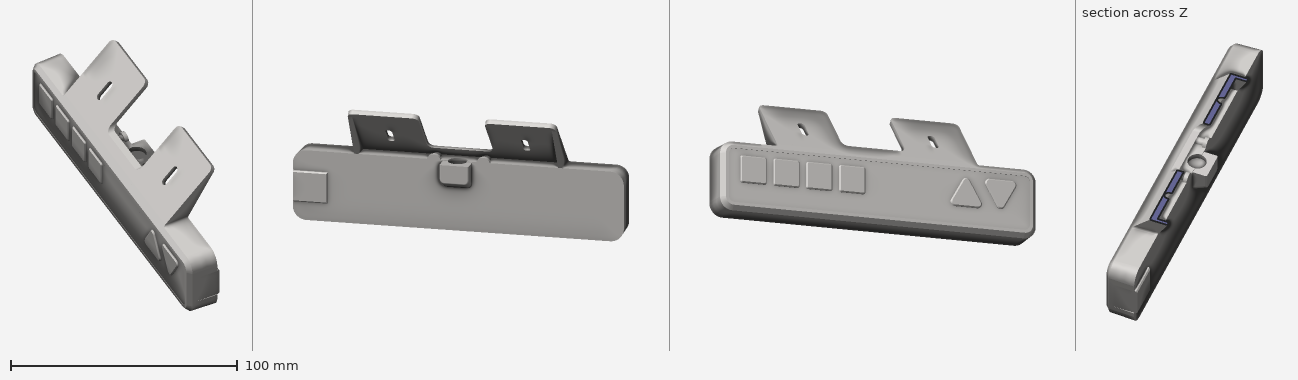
import cadquery as cq
import math


BODY_LENGTH = 150.0
BODY_HEIGHT = 32.2
BODY_DEPTH = 14.15
BODY_CORNER_RADIUS = 6.2
BODY_DRAFT = 2.0
FRONT_CHAMFER = 2.0

PANEL_INSET = 1.35
PANEL_DEPTH = 0.3
PANEL_CORNER_RADIUS = 2.6

BUTTON_PROUD = 0.5
BUTTON_CHAMFER = 0.6
KEY_SIZE = 12.4
KEY_CORNER_RADIUS = 1.0
KEY_COUNT = 4
KEY_PITCH = 15.55
FIRST_KEY_X = -59.5
KEY_Z = 19.15
ARROW_SIDE = 10.8
ARROW_CORNER_RADIUS = 2.0
UP_ARROW_X = 41.0
UP_ARROW_Z = 18.3
DOWN_ARROW_X = 57.3
DOWN_ARROW_Z = 18.9

BRACKET_TOP_Z = 56.54
BRACKET_REAR_Y = 14.22
BRACKET_CREASE_Y = -11.3
TAB_OUTER_X = 47.2
TAB_INNER_X = 15.0
TAB_CORNER_RADIUS = 2.8
NOTCH_FLOOR_Z = 36.0
SLOT_X = 30.7
SLOT_Z = 43.7
SLOT_WIDTH = 3.3
SLOT_LENGTH = 10.1
GUSSET_THICKNESS = 2.0
GUSSET_BASE_RADIUS = 0.9

BOSS_X = 11.2
BOSS_Z = 31.2
BOSS_FLANGE_DIAMETER = 6.5
BOSS_FLANGE_LENGTH = 1.85
BOSS_NECK_DIAMETER = 4.5
BOSS_LENGTH = 7.0
OUTLET_LEFT_X = -6.2
OUTLET_RIGHT_X = 7.0
OUTLET_DEPTH = 6.7
OUTLET_TOP_Z = 31.85
OUTLET_REAR_BOTTOM_Z = 23.4
OUTLET_ROOT_Z = 19.9
OUTLET_EDGE_RADIUS = 2.0
OUTLET_REAR_RADIUS = 0.7
CABLE_HOLE_DIAMETER = 8.5
CABLE_HOLE_DEPTH = 2.4
CABLE_HOLE_Y = -0.6
PLATE_LEFT_X = 59.1
PLATE_RIGHT_X = 74.65
PLATE_BOTTOM_Z = 8.5
PLATE_TOP_Z = 22.8
PLATE_THICKNESS = 1.35
PLATE_CHAMFER = 0.6

BODY_MID_Z = BODY_HEIGHT / 2
FRONT_Y = -BODY_DEPTH
DRAFT_INSET = BODY_DEPTH * math.tan(math.radians(BODY_DRAFT))
FACE_INSET = DRAFT_INSET + FRONT_CHAMFER
PANEL_FLOOR_Y = FRONT_Y + PANEL_DEPTH
BUTTON_HEIGHT = PANEL_DEPTH + BUTTON_PROUD
CHAMFER_FOOT_Z = BODY_HEIGHT - FACE_INSET
CHAMFER_SLOPE = math.tan(math.radians(45 + BODY_DRAFT / 2))
BRACKET_CREASE_Z = CHAMFER_FOOT_Z + CHAMFER_SLOPE * (BRACKET_CREASE_Y - FRONT_Y)
BRACKET_OFFSET = BRACKET_CREASE_Z - BRACKET_CREASE_Y
BRACKET_TIP_Y = BRACKET_TOP_Z - BRACKET_OFFSET
TIP_STEP = BRACKET_REAR_Y - BRACKET_TIP_Y


def front_plane(y):
    """XZ sketch plane at depth y, with its normal toward the front."""
    return cq.Workplane("XZ", origin=(0, y, 0))


def side_prism(points, x_start, x_end):
    """Prism along X with an outline given as (y, z) points."""
    outline = cq.Workplane("YZ", origin=(x_start, 0, 0)).polyline(points).close()
    return outline.extrude(x_end - x_start)


def make_body():
    body = (
        front_plane(0)
        .center(0, BODY_MID_Z)
        .sketch()
        .rect(BODY_LENGTH, BODY_HEIGHT)
        .vertices()
        .fillet(BODY_CORNER_RADIUS)
        .finalize()
        .extrude(BODY_DEPTH, taper=BODY_DRAFT)
    )
    body = body.faces("<Y").chamfer(FRONT_CHAMFER)
    panel_margin = 2 * (FACE_INSET + PANEL_INSET)
    panel = (
        front_plane(PANEL_FLOOR_Y)
        .center(0, BODY_MID_Z)
        .rect(BODY_LENGTH - panel_margin, BODY_HEIGHT - panel_margin)
        .extrude(PANEL_DEPTH)
        .edges("|Y")
        .fillet(PANEL_CORNER_RADIUS)
    )
    return body.cut(panel)


def make_key(x):
    key = front_plane(PANEL_FLOOR_Y).center(x, KEY_Z).rect(KEY_SIZE, KEY_SIZE)
    key = key.extrude(BUTTON_HEIGHT)
    return key.edges("|Y").fillet(KEY_CORNER_RADIUS).faces("<Y").chamfer(BUTTON_CHAMFER)


def make_arrow(x, z, direction):
    """Rounded triangular button centred on its height; direction is +1 for up, -1 for down."""
    half_height = ARROW_SIDE * math.sqrt(3) / 4
    corners = [
        (-ARROW_SIDE / 2, -direction * half_height),
        (ARROW_SIDE / 2, -direction * half_height),
        (0, direction * half_height),
    ]
    arrow = front_plane(PANEL_FLOOR_Y).center(x, z).polyline(corners).close()
    arrow = arrow.offset2D(ARROW_CORNER_RADIUS, "arc").extrude(BUTTON_HEIGHT)
    return arrow.faces("<Y").chamfer(BUTTON_CHAMFER)


def make_bracket_plate():
    root_y = FRONT_Y + FRONT_CHAMFER
    plate = side_prism(
        [
            (FRONT_Y, CHAMFER_FOOT_Z),
            (BRACKET_CREASE_Y, BRACKET_CREASE_Z),
            (BRACKET_TIP_Y, BRACKET_TOP_Z),
            (BRACKET_REAR_Y, BRACKET_TOP_Z - TIP_STEP),
            (root_y, root_y + BRACKET_OFFSET - 2 * TIP_STEP),
        ],
        -TAB_OUTER_X,
        TAB_OUTER_X,
    )
    notch = (
        front_plane(BRACKET_REAR_Y)
        .center(0, NOTCH_FLOOR_Z + BRACKET_TOP_Z / 2)
        .rect(2 * TAB_INNER_X, BRACKET_TOP_Z)
        .extrude(BODY_DEPTH + BRACKET_REAR_Y)
        .edges("|Y")
        .fillet(TAB_CORNER_RADIUS)
    )
    plate = plate.cut(notch)
    across_thickness = cq.selectors.ParallelDirSelector(cq.Vector(0, 1, -1))
    tip_face = plate.faces(cq.selectors.DirectionMinMaxSelector(cq.Vector(0, 1, 1), True))
    return tip_face.edges(across_thickness).fillet(TAB_CORNER_RADIUS)


def make_slot(x):
    """Cutter for a bracket slot, square to the sloping face."""
    face = cq.Plane(origin=(x, SLOT_Z - BRACKET_OFFSET, SLOT_Z), xDir=(1, 0, 0), normal=(0, -1, 1))
    return cq.Workplane(face).slot2D(SLOT_LENGTH, SLOT_WIDTH, 90).extrude(2 * TIP_STEP, both=True)


def make_gusset(side):
    """Triangular rib under the outer edge of one tab (side -1 or +1), with a small fillet at its foot."""
    fillet_drop = TAB_CORNER_RADIUS / math.sqrt(2)
    top_y = BRACKET_REAR_Y - fillet_drop
    top_z = BRACKET_TOP_Z - TIP_STEP - fillet_drop
    outline = [
        (top_y, top_z),
        (0, BODY_HEIGHT),
        (0, BODY_MID_Z),
        (BRACKET_CREASE_Y, BODY_MID_Z),
        (BRACKET_CREASE_Y, BRACKET_CREASE_Z),
        (top_y - TIP_STEP, top_z + TIP_STEP),
    ]
    outer_x = side * TAB_OUTER_X
    rib = side_prism(outline, outer_x, outer_x - side * GUSSET_THICKNESS)
    foot_x = outer_x + side * GUSSET_BASE_RADIUS
    foot = (
        front_plane(0)
        .moveTo(outer_x, BODY_HEIGHT + GUSSET_BASE_RADIUS)
        .radiusArc((foot_x, BODY_HEIGHT), -side * GUSSET_BASE_RADIUS)
        .lineTo(foot_x, BODY_MID_Z)
        .lineTo(outer_x, BODY_MID_Z)
        .close()
        .extrude(BODY_DEPTH)
    )
    foot = foot.rotate((0, 0, BODY_HEIGHT), (1, 0, BODY_HEIGHT), BODY_DRAFT)
    behind_face = side_prism(
        [
            (FRONT_Y, CHAMFER_FOOT_Z),
            (BRACKET_CREASE_Y, BRACKET_CREASE_Z),
            (0, BRACKET_OFFSET),
            (0, BODY_MID_Z),
        ],
        -BODY_LENGTH / 2,
        BODY_LENGTH / 2,
    )
    return rib.union(foot.intersect(behind_face))


def make_boss(x):
    flange = front_plane(0).center(x, BOSS_Z).circle(BOSS_FLANGE_DIAMETER / 2).extrude(BOSS_FLANGE_LENGTH)
    neck = front_plane(0).center(x, BOSS_Z).circle(BOSS_NECK_DIAMETER / 2).extrude(BOSS_LENGTH)
    return flange.union(neck)


def make_outlet():
    outlet = side_prism(
        [
            (0, OUTLET_TOP_Z),
            (OUTLET_DEPTH, OUTLET_TOP_Z),
            (OUTLET_DEPTH, OUTLET_REAR_BOTTOM_Z),
            (0, OUTLET_ROOT_Z),
        ],
        OUTLET_LEFT_X,
        OUTLET_RIGHT_X,
    )
    sloping_sides = cq.selectors.ParallelDirSelector(
        cq.Vector(0, OUTLET_DEPTH, OUTLET_REAR_BOTTOM_Z - OUTLET_ROOT_Z)
    )
    outlet = outlet.edges(sloping_sides).fillet(OUTLET_EDGE_RADIUS)
    return outlet.faces(">Y").edges("|Z").fillet(OUTLET_REAR_RADIUS)


def make_cable_hole():
    middle_x = (OUTLET_LEFT_X + OUTLET_RIGHT_X) / 2
    hole = cq.Workplane("XY", origin=(middle_x, CABLE_HOLE_Y, OUTLET_TOP_Z - CABLE_HOLE_DEPTH))
    return hole.circle(CABLE_HOLE_DIAMETER / 2).extrude(2 * CABLE_HOLE_DEPTH)


def make_end_plate():
    plate = cq.Workplane("XY").box(
        PLATE_RIGHT_X - PLATE_LEFT_X,
        PLATE_THICKNESS,
        PLATE_TOP_Z - PLATE_BOTTOM_Z,
        centered=False,
    )
    plate = plate.translate((PLATE_LEFT_X, 0, PLATE_BOTTOM_Z))
    return plate.faces(">Y").edges("<X or <Z or >Z").chamfer(PLATE_CHAMFER)


def make_end_relief():
    """Cutter for the shallow flat in the +X end of the body, level with the end plate."""
    return (
        front_plane(0)
        .moveTo(PLATE_RIGHT_X, PLATE_BOTTOM_Z)
        .lineTo(BODY_LENGTH, PLATE_BOTTOM_Z)
        .lineTo(BODY_LENGTH, PLATE_TOP_Z)
        .lineTo(PLATE_RIGHT_X, PLATE_TOP_Z)
        .close()
        .extrude(BODY_DEPTH)
    )


result = make_body().cut(make_end_relief())
result = result.union(make_bracket_plate())
for side in (-1, 1):
    result = result.union(make_gusset(side))
    result = result.cut(make_slot(side * SLOT_X))
    result = result.union(make_boss(side * BOSS_X))
result = result.union(make_outlet()).cut(make_cable_hole())
result = result.union(make_end_plate())
for index in range(KEY_COUNT):
    result = result.union(make_key(FIRST_KEY_X + index * KEY_PITCH))
result = result.union(make_arrow(UP_ARROW_X, UP_ARROW_Z, 1))
result = result.union(make_arrow(DOWN_ARROW_X, DOWN_ARROW_Z, -1))
result = result.clean()